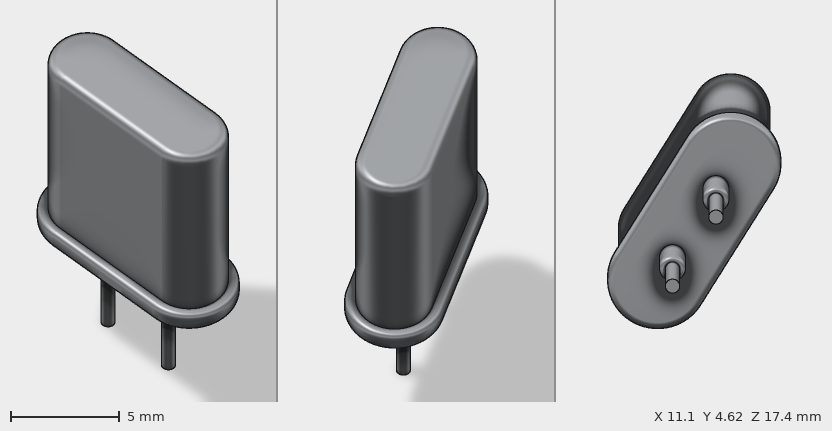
import cadquery as cq

TOTAL_HEIGHT = 17.44
STRAIGHT_LENGTH = 6.44
BASE_WIDTH = 4.62
BASE_THICKNESS = 1.0
BASE_EDGE_RADIUS = 0.31
CAN_WIDTH = 3.63
CAN_TOP_RADIUS = 0.5
LEAD_SPACING = 3.82
LEAD_DIAMETER = 0.66
LEAD_LENGTH = 6.02
SLEEVE_DIAMETER = 1.2
SLEEVE_LENGTH = 2.42
SLEEVE_TIP_RADIUS = 0.21

CAN_HEIGHT = TOTAL_HEIGHT - LEAD_LENGTH - BASE_THICKNESS
LEAD_POSITIONS = [-LEAD_SPACING / 2, LEAD_SPACING / 2]


def rounded_bar(width, height, bottom):
    """Upright prism with straight sides and semicircular ends."""
    return (
        cq.Workplane("XY", origin=(0, 0, bottom))
        .slot2D(STRAIGHT_LENGTH + width, width)
        .extrude(height)
    )


def make_base():
    """Base plate with its top and bottom rims rounded."""
    return rounded_bar(BASE_WIDTH, BASE_THICKNESS, 0).faces("|Z").edges().fillet(BASE_EDGE_RADIUS)


def make_can():
    """Can standing on the base, with a rounded top rim."""
    return rounded_bar(CAN_WIDTH, CAN_HEIGHT, BASE_THICKNESS).faces(">Z").edges().fillet(CAN_TOP_RADIUS)


def make_sleeve(x):
    """Insulating sleeve under the base, rounded at its tip and bored for its lead."""
    body = cq.Workplane("XY", origin=(x, 0, 0)).circle(SLEEVE_DIAMETER / 2).extrude(-SLEEVE_LENGTH)
    body = body.faces("<Z").edges().fillet(SLEEVE_TIP_RADIUS)
    return body.cut(make_lead(x))


def make_lead(x):
    """Wire lead running down from the base through its sleeve."""
    return cq.Workplane("XY", origin=(x, 0, 0)).circle(LEAD_DIAMETER / 2).extrude(-LEAD_LENGTH)


base = make_base()
can = make_can()
sleeves = [make_sleeve(x).val() for x in LEAD_POSITIONS]
leads = [make_lead(x).val() for x in LEAD_POSITIONS]

result = cq.Compound.makeCompound([base.val(), can.val(), *sleeves, *leads])